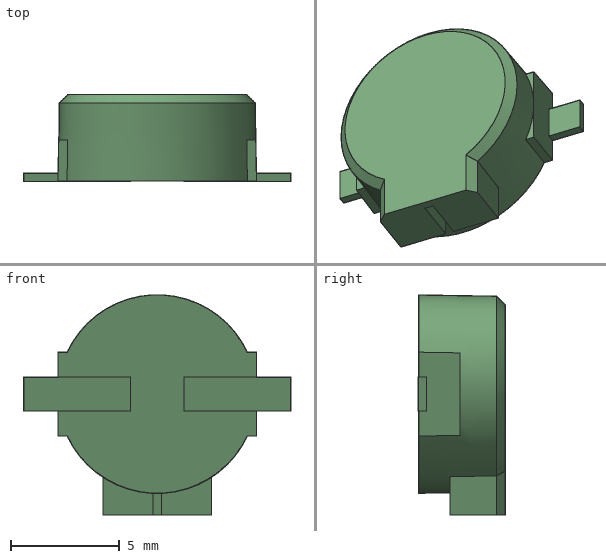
import cadquery as cq
import math

face_radius = 4.58
body_depth = 4.0
chamfer = 0.4
draft_angle = 1.0
draft = math.tan(math.radians(draft_angle))

pad_height = 3.86
pad_depth = 1.91

terminal_span = 12.3
terminal_gap = 2.46
terminal_height = 1.56
terminal_thickness = 0.39
terminal_proud = 0.02

outlet_width = 4.99
outlet_depth = 2.56
outlet_bottom = 5.57
slot_width = 0.4
slot_depth = outlet_depth - chamfer


def make_housing():
    shoulder_y = body_depth - chamfer
    shoulder_radius = face_radius - shoulder_y * draft
    return (
        cq.Workplane("XY")
        .lineTo(face_radius, 0)
        .lineTo(shoulder_radius, shoulder_y)
        .lineTo(shoulder_radius - chamfer, body_depth)
        .lineTo(0, body_depth)
        .close()
        .revolve(360, (0, 0, 0), (0, 1, 0))
    )


def make_side_pads():
    return (
        cq.Workplane("XZ")
        .rect(2 * face_radius, pad_height)
        .extrude(-pad_depth, taper=draft_angle)
    )


def make_terminal(side):
    length = (terminal_span - terminal_gap) / 2
    center_x = side * (terminal_span + terminal_gap) / 4
    center_y = terminal_thickness / 2 - terminal_proud
    return (
        cq.Workplane("XY")
        .box(length, terminal_thickness, terminal_height)
        .translate((center_x, center_y, 0))
    )


def make_outlet():
    return (
        cq.Workplane("XY")
        .box(outlet_width, outlet_depth, outlet_bottom)
        .translate((0, body_depth - outlet_depth / 2, -outlet_bottom / 2))
        .edges("|Z and >Y")
        .chamfer(chamfer)
    )


def make_outlet_slot():
    front_y = body_depth - outlet_depth
    slot = (
        cq.Workplane("XY")
        .box(slot_width, slot_depth, outlet_bottom)
        .translate((0, front_y + slot_depth / 2, -outlet_bottom / 2))
    )
    return slot.cut(make_housing())


result = make_housing().union(make_side_pads())
result = result.union(make_outlet()).cut(make_outlet_slot())
for side in (-1, 1):
    result = result.union(make_terminal(side))